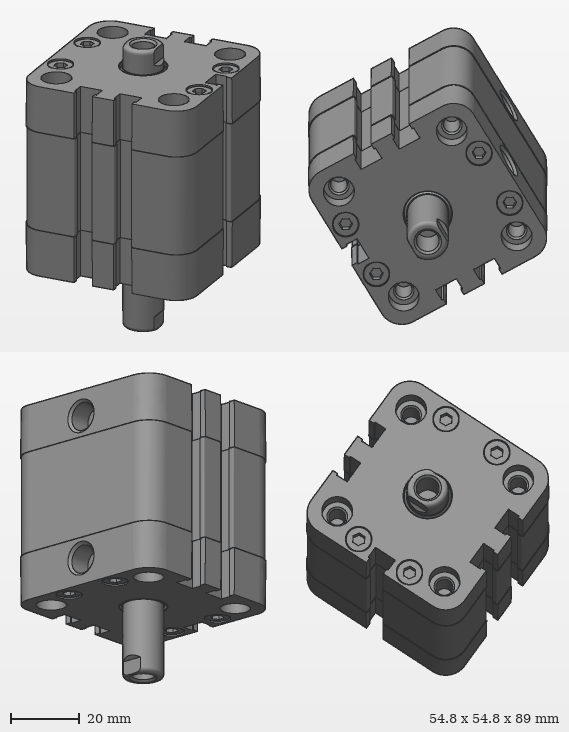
import cadquery as cq
import math


body_height = 60.0
cap_height = 14.5
cap_width = 54.8
cap_draft = 0.75
barrel_width = 54.3
corner_flat_half = 20.5
core_diameter = 40.0
end_wall = 3.0

rod_diameter = 12.0
rod_above = 7.0
rod_below = 22.0
rod_tip_fillet = 1.2
rod_thread_diameter = 6.65
rod_thread_mouth = 8.0
rod_thread_depth = 12.0
wrench_flat_width = 10.0
wrench_flat_length = 4.5

slot_offset = 6.4
cap_slot_width = 7.0
barrel_slot_width = 6.8
cap_slot_mouth = 5.95
barrel_slot_mouth = 5.45
barrel_slot_edge_radius = 0.25
slot_floor = 21.8
slot_lip = 25.45

port_inset = 8.0
port_diameter = 8.57
port_mouth_diameter = 10.4

mount_spacing = 38.0
mount_counterbore_diameter = 9.0
mount_counterbore_depth = 5.0
mount_mouth_diameter = 6.0
mount_thread_diameter = 4.92
mount_thread_depth = 9.0

screw_x = 22.45
screw_y = 9.0
screw_recess_diameter = 7.7
screw_sink = 0.4
screw_top_diameter = 7.3
screw_socket_flats = 3.4
screw_socket_depth = 2.0

wiper_mouth_diameter = 14.4
wiper_recess_diameter = 14.0
wiper_lip_base_diameter = 13.7
wiper_lip_top_diameter = 12.54
wiper_lip_sink = 0.3
wiper_lip_height = 0.9

cap_joint = body_height - cap_height
core_length = body_height - 2 * end_wall
rod_bottom = -rod_below
rod_top = body_height + rod_above
rod_length = rod_top - rod_bottom
screw_points = [(x, y) for x in (-screw_x, screw_x) for y in (-screw_y, screw_y)]


def cylinder(diameter, bottom, length):
    return cq.Workplane("XY").workplane(offset=bottom).circle(diameter / 2).extrude(length)


def revolved(points):
    """Solid of revolution about Z from a closed outline of (radius, z) points."""
    return cq.Workplane("XZ").polyline(points).close().revolve(360, (0, 0), (0, 1))


def rounded_block(width, bottom, length, draft=0):
    """Square block with round corners that begin at the ends of the side flats."""
    corner_radius = width / 2 - corner_flat_half
    outline = cq.Sketch().rect(width, width).vertices().fillet(corner_radius)
    return cq.Workplane("XY").workplane(offset=bottom).placeSketch(outline).extrude(length, taper=draft)


def cut_slots(block, slot_width, mouth_width, bottom, length):
    """Cut two undercut slots in each Y side and one in the +X side."""
    slot = cq.Workplane("XY").box(slot_width, slot_lip - slot_floor, length, centered=(True, False, False))
    mouth = cq.Workplane("XY").box(mouth_width, cap_width, length, centered=(True, False, False))
    slot = slot.union(mouth.translate((0, slot_lip - slot_floor, 0)))
    pair = [(turn, offset) for turn in (0, 180) for offset in (-slot_offset, slot_offset)]
    for turn, offset in pair + [(-90, 0)]:
        placed = slot.translate((offset, slot_floor, bottom)).rotate((0, 0, 0), (0, 0, 1), turn)
        block = block.cut(placed)
    return block


def threaded_hole(mouth_diameter, diameter, depth, top):
    """Blind hole going down from `top`, with a 45 degree countersink."""
    mouth_radius = mouth_diameter / 2
    radius = diameter / 2
    return revolved([
        (0, top),
        (mouth_radius, top),
        (radius, top - (mouth_radius - radius)),
        (radius, top - depth),
        (0, top - depth),
    ])


def mounting_hole():
    seat = body_height - mount_counterbore_depth
    counterbore = cylinder(mount_counterbore_diameter, seat, mount_counterbore_depth)
    return counterbore.union(
        threaded_hole(mount_mouth_diameter, mount_thread_diameter, mount_thread_depth, seat)
    )


def screw_head_cut():
    """Recess above a sunk screw head with a bevelled rim, and the head's hexagon socket."""
    recess_radius = screw_recess_diameter / 2
    top_radius = screw_top_diameter / 2
    head_top = body_height - screw_sink
    recess = revolved([
        (0, body_height),
        (recess_radius, body_height),
        (recess_radius, head_top - (recess_radius - top_radius)),
        (top_radius, head_top),
        (0, head_top),
    ])
    corner_diameter = screw_socket_flats / math.cos(math.pi / 6)
    socket = (
        cq.Workplane("XY")
        .workplane(offset=head_top - screw_socket_depth)
        .polygon(6, corner_diameter)
        .extrude(screw_socket_depth)
        .rotate((0, 0, 0), (0, 0, 1), 30)
    )
    return recess.union(socket)


def wiper_groove():
    """Groove with a bevelled mouth on the outside and a sunk, sloping lip toward the rod."""
    rod_radius = rod_diameter / 2
    mouth_radius = wiper_mouth_diameter / 2
    recess_radius = wiper_recess_diameter / 2
    lip_base_radius = wiper_lip_base_diameter / 2
    lip_top_radius = wiper_lip_top_diameter / 2
    lip_top = body_height - wiper_lip_sink
    groove_floor = lip_top - wiper_lip_height
    return revolved([
        (rod_radius, body_height),
        (mouth_radius, body_height),
        (recess_radius, body_height - (mouth_radius - recess_radius)),
        (recess_radius, groove_floor),
        (lip_base_radius, groove_floor),
        (lip_top_radius, lip_top),
        (rod_radius, lip_top),
    ])


def air_port():
    """Port in the -X side, running in to the core, with a 45 degree mouth."""
    port = threaded_hole(port_mouth_diameter, port_diameter, cap_width / 2, cap_width / 2)
    return port.rotate((0, 0, 0), (0, 1, 0), -90).translate((0, 0, body_height - port_inset))


def make_upper_cap():
    cap = rounded_block(cap_width, cap_joint, cap_height, cap_draft)
    cap = cut_slots(cap, cap_slot_width, cap_slot_mouth, cap_joint, cap_height)
    cap = cap.cut(cylinder(core_diameter, cap_joint, cap_height - end_wall))
    cap = cap.cut(cylinder(rod_diameter, cap_joint, cap_height))
    cap = cap.cut(wiper_groove())
    cap = cap.cut(air_port())
    mount_half = mount_spacing / 2
    for x in (-mount_half, mount_half):
        for y in (-mount_half, mount_half):
            cap = cap.cut(mounting_hole().translate((x, y, 0)))
    for x, y in screw_points:
        cap = cap.cut(screw_head_cut().translate((x, y, 0)))
    return cap


def make_barrel():
    length = body_height - 2 * cap_height
    barrel = rounded_block(barrel_width, cap_height, length)
    barrel = cut_slots(barrel, barrel_slot_width, barrel_slot_mouth, cap_height, length)
    half = barrel_width / 2
    mouth_half = barrel_slot_mouth / 2
    y_side_edges = [
        (slot_offset * side + mouth_half * edge, half * face)
        for side in (-1, 1)
        for edge in (-1, 1)
        for face in (-1, 1)
    ]
    x_side_edges = [(half, -mouth_half), (half, mouth_half)]
    for x, y in y_side_edges + x_side_edges:
        edge = cq.selectors.NearestToPointSelector((x, y, body_height / 2))
        barrel = barrel.edges(edge).fillet(barrel_slot_edge_radius)
    return barrel.cut(cylinder(core_diameter, cap_height, length))


def make_core():
    core = cylinder(core_diameter, end_wall, core_length)
    return core.cut(cylinder(rod_diameter, end_wall, core_length))


def wrench_flats():
    """Flats on the X sides of the rod's upper end, closed by 45 degree shoulders."""
    flat = wrench_flat_width / 2
    reach = rod_diameter
    shoulder = rod_top - wrench_flat_length
    outline = [
        (flat, rod_top),
        (flat, shoulder),
        (reach, shoulder - (reach - flat)),
        (reach, rod_top),
    ]
    side = cq.Workplane("XZ").polyline(outline).close().extrude(rod_diameter / 2, both=True)
    return side.union(side.mirror("YZ"))


def make_rod():
    rod = cylinder(rod_diameter, rod_bottom, rod_length)
    rod = rod.faces("<Z or >Z").edges().fillet(rod_tip_fillet)
    end_cut = wrench_flats().union(
        threaded_hole(rod_thread_mouth, rod_thread_diameter, rod_thread_depth, rod_top)
    )
    rod_middle = (rod_top + rod_bottom) / 2
    lower_end_cut = end_cut.mirror("XY", (0, 0, rod_middle))
    return rod.cut(end_cut).cut(lower_end_cut)


upper_cap = make_upper_cap()
lower_cap = upper_cap.mirror("XY", (0, 0, body_height / 2))
barrel = make_barrel()
core = make_core()
rod = make_rod()

result = cq.Compound.makeCompound([
    upper_cap.val(),
    lower_cap.val(),
    barrel.val(),
    core.val(),
    rod.val(),
])